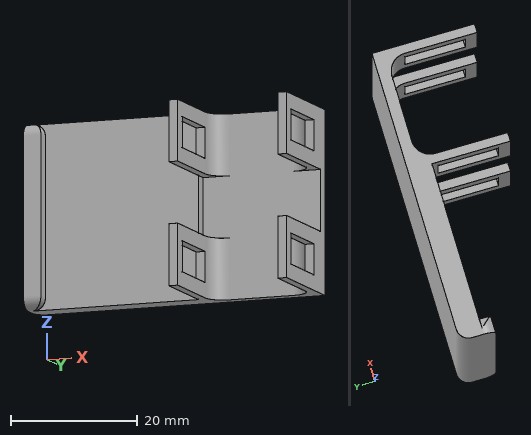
import cadquery as cq

length = 49.0
depth = 17.0
height = 30.0

plate_thickness = 4.0
plate_corner_radius = 2.0
lip_width = 3.0
lip_projection = 2.0
lip_corner_radius = 2.0

clip_width = 20.0
clip_wall = 2.0
leg_thickness = 1.5
leg_height = 10.0
leg_root_radius = 3.0

window_height = 5.0
window_length = 10.0
window_tip_margin = 2.0

clip_start = length - clip_width
channel_start = clip_start + leg_thickness
channel_end = length - leg_thickness
plate_front = -plate_thickness
lip_front = plate_front - lip_projection
full_z = (-height / 2, height / 2)
leg_center_z = (height - leg_height) / 2


def box(x_range, y_range, z_range):
    """Axis-aligned box given by its (low, high) limits."""
    (x0, x1), (y0, y1), (z0, z1) = x_range, y_range, z_range
    return cq.Workplane("XY").box(x1 - x0, y1 - y0, z1 - z0, centered=False).translate((x0, y0, z0))


def make_plate():
    """Thick plate, rounded at its outer back edge, with the thin clip wall beside it."""
    plate = box((0, clip_start), (plate_front, 0), full_z)
    plate = plate.edges("|Z and <X and >Y").fillet(plate_corner_radius)
    wall = box((clip_start, length), (-clip_wall, 0), full_z)
    return plate.union(wall)


def make_lip():
    """Lip along the plate's outer edge, each end rounded both toward -Y and toward +X."""
    x_range = (0, lip_width)
    rounded_front = box(x_range, (lip_front, 0), full_z).edges("|X and <Y").fillet(lip_corner_radius)
    rounded_side = box(x_range, (lip_front, plate_front), full_z)
    rounded_side = rounded_side.edges("|Y and >X").fillet(lip_corner_radius)
    return rounded_front.intersect(rounded_side)


def make_leg_pair(center_z):
    """Two facing legs joined to the clip wall by rounded inner corners."""
    z_range = (center_z - leg_height / 2, center_z + leg_height / 2)
    legs = box((clip_start, length), (-depth, 0), z_range)
    channel = box((channel_start, channel_end), (-depth, -clip_wall), z_range)
    channel = channel.edges("|Z and >Y").fillet(leg_root_radius)
    return legs.cut(channel)


def make_window(center_z):
    """Rectangular cutter that passes through both legs of a pair."""
    window_tip = -depth + window_tip_margin
    z_range = (center_z - window_height / 2, center_z + window_height / 2)
    return box((clip_start, length), (window_tip, window_tip + window_length), z_range)


result = make_plate().union(make_lip())
for center_z in (-leg_center_z, leg_center_z):
    result = result.union(make_leg_pair(center_z)).cut(make_window(center_z))